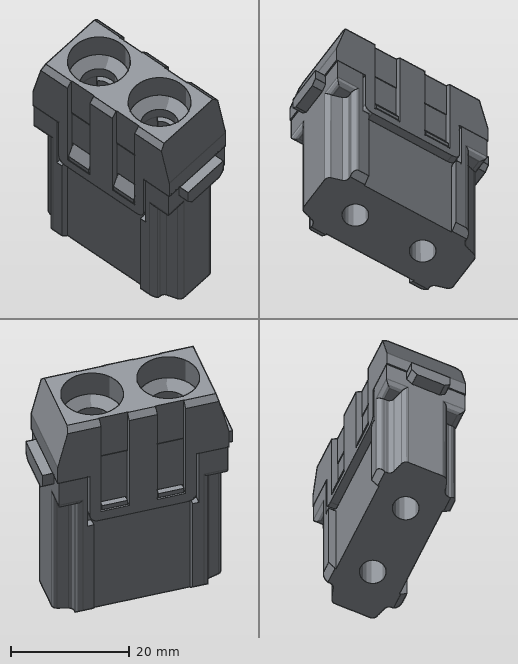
import cadquery as cq
import math

overall_width = 34.1
overall_depth = 14.6
overall_height = 42.9

body_width = 30.0
body_depth = 14.55
body_height = 31.1
bottom_chamfer = 1.2

pocket_height = 25.1
pocket_round = 1.0
pocket_front_x = 11.72
pocket_inner_y = 4.98
pocket_outer_y = 3.96

panel_depth = 1.4
panel_width = 17.5
panel_height = 20.0
tongue_gap_width = 19.75

cover_width = 30.4
cover_top_width = 26.4
cover_taper_start = 34.7
cover_chamfer = 1.0
tongue_width = 18.9
tongue_bottom = 20.75
tongue_radius = 1.5

slot_spacing = 10.0
slot_width = 5.0
slot_bottom = 22.7
slot_step_height = 34.2
slot_upper_depth = 1.1
slot_lower_depth = 1.2
catch_width = 4.5
catch_bottom = 22.9
catch_shoulder = 23.8
back_catch_depth = 1.05
catch_top = 26.2

lug_height = 3.4
lug_chamfer = 1.0
left_lug_depth = 7.1
right_lug_depth = 9.1

bore_spacing = 13.5
entry_diameter = 10.6
entry_depth = 4.75
funnel_angle = 120.0
bore_diameter = 6.4
bore_depth = 8.0
through_diameter = 4.5
relief_diameter = 5.2
relief_depth = 4.0
relief_half_angle = 42.0


def block(x_size, y_size, z_low, z_high):
    """Box centred on X and Y between two heights."""
    return cq.Workplane("XY").workplane(offset=z_low).rect(x_size, y_size).extrude(z_high - z_low)


def on_both_sides(shape):
    """Shape together with its mirror image in the XZ plane."""
    return shape.union(shape.mirror("XZ"))


def corner_pocket():
    """Prism removed from the -X, -Y corner of the body, with a rounded inner corner."""
    margin = 5.0
    side = -body_width / 2
    front = -body_depth / 2
    slope = (pocket_inner_y - pocket_outer_y) / (body_width / 2 - pocket_front_x)
    inner_corner = (-pocket_front_x, -pocket_inner_y, pocket_height / 2)
    prism = (
        cq.Workplane("XY")
        .moveTo(-pocket_front_x, front - margin)
        .lineTo(-pocket_front_x, -pocket_inner_y)
        .lineTo(side - margin, -pocket_outer_y + slope * margin)
        .lineTo(side - margin, front - margin)
        .close()
        .extrude(pocket_height)
    )
    return prism.edges(cq.NearestToPointSelector(inner_corner)).fillet(pocket_round)


def pocketed_body():
    """Lower body with its four corner pockets and their rounded outer edges."""
    body = block(body_width, body_depth, 0, body_height)
    pocket = corner_pocket()
    pockets = on_both_sides(pocket.union(pocket.mirror("YZ")))
    body = body.cut(pockets)

    side = body_width / 2
    front = body_depth / 2
    outer_edges = []
    for x_sign in (-1, 1):
        for y_sign in (-1, 1):
            edge_points = (
                (pocket_front_x, front, pocket_height / 2),
                (side, pocket_outer_y, pocket_height / 2),
                ((side + pocket_front_x) / 2, front, pocket_height),
                (side, (front + pocket_outer_y) / 2, pocket_height),
            )
            for x, y, z in edge_points:
                selector = cq.NearestToPointSelector((x_sign * x, y_sign * y, z))
                outer_edges.append(body.edges(selector).val())
    return body.newObject(outer_edges).fillet(pocket_round)


def bottom_bevel():
    """Wedge that bevels the front bottom edge along the whole body width."""
    front = -body_depth / 2
    return (
        cq.Workplane("YZ")
        .polyline([(front, 0), (front + bottom_chamfer, 0), (front, bottom_chamfer)])
        .close()
        .extrude(body_width / 2, both=True)
    )


def panel_recess():
    """Stepped recess in the front face that leaves the panel and takes the tongue."""
    recess_y = -body_depth / 2
    lower = block(panel_width, 2 * panel_depth, 0, panel_height)
    upper = block(tongue_gap_width, 2 * panel_depth, panel_height, body_height)
    return lower.union(upper).translate((0, recess_y, 0))


def cover():
    """Tapered upper cover with bevelled long top edges."""
    half_width = cover_width / 2
    half_top = cover_top_width / 2
    outline = [
        (-half_width, body_height),
        (-half_width, cover_taper_start),
        (-half_top, overall_height),
        (half_top, overall_height),
        (half_width, cover_taper_start),
        (half_width, body_height),
    ]
    shell = cq.Workplane("XZ").polyline(outline).close().extrude(overall_depth / 2, both=True)
    return shell.faces(">Z").edges("|X").chamfer(cover_chamfer)


def tongue():
    """Flap that hangs from the front of the cover into the panel recess."""
    inner_y = -body_depth / 2 + panel_depth
    thickness = inner_y + overall_depth / 2
    flap = block(tongue_width, thickness, tongue_bottom, body_height)
    flap = flap.edges("|Y and <Z").fillet(tongue_radius)
    return flap.translate((0, inner_y - thickness / 2, 0))


def latch_slot():
    """Open-topped front slot, slightly deeper below its step."""
    front = -overall_depth / 2
    lower = block(slot_width, 2 * slot_lower_depth, slot_bottom, slot_step_height)
    upper = block(slot_width, 2 * slot_upper_depth, slot_step_height, overall_height)
    return lower.union(upper).translate((0, front, 0))


def front_catch():
    """Wedge at the foot of a front slot, sloping from the slot floor out to the front face."""
    front = -overall_depth / 2
    floor = front + slot_lower_depth
    outline = [
        (floor, catch_bottom),
        (front, catch_bottom),
        (front, catch_shoulder),
        (floor, catch_top),
    ]
    return cq.Workplane("YZ").polyline(outline).close().extrude(catch_width / 2, both=True)


def back_catch():
    """Flat-topped catch at the foot of a back slot."""
    floor = overall_depth / 2 - slot_lower_depth
    catch = block(catch_width, back_catch_depth, catch_bottom, catch_shoulder)
    return catch.translate((0, floor + back_catch_depth / 2, 0))


def lug(direction, depth):
    """Side lug pointing along +X or -X, with its lower edges bevelled."""
    bar = block(overall_width / 2, depth, body_height - lug_height, body_height)
    bar = bar.faces("<Z").edges("|X").chamfer(lug_chamfer)
    return bar.translate((direction * overall_width / 4, 0, 0))


def contact_bore():
    """Stepped bore on the Z axis: entry, funnel, bore and through hole."""
    entry_radius = entry_diameter / 2
    bore_radius = bore_diameter / 2
    through_radius = through_diameter / 2
    funnel_top = overall_height - entry_depth
    funnel_bottom = funnel_top - (entry_radius - bore_radius) / math.tan(math.radians(funnel_angle / 2))
    seat = overall_height - bore_depth
    outline = [
        (0, 0),
        (through_radius, 0),
        (through_radius, seat),
        (bore_radius, seat),
        (bore_radius, funnel_bottom),
        (entry_radius, funnel_top),
        (entry_radius, overall_height),
        (0, overall_height),
    ]
    return cq.Workplane("XZ").polyline(outline).close().revolve(360, (0, 0), (0, 1))


def seat_reliefs():
    """Two opposite tapered sectors that deepen the bore seat on its +X and -X sides."""
    seat = overall_height - bore_depth
    outline = [
        (0, seat - relief_depth),
        (relief_diameter / 2, seat - relief_depth),
        (bore_diameter / 2, seat),
        (0, seat),
    ]
    sector = (
        cq.Workplane("XZ")
        .polyline(outline)
        .close()
        .revolve(2 * relief_half_angle, (0, 0), (0, 1))
    )
    right = sector.rotate((0, 0, 0), (0, 0, 1), -relief_half_angle)
    return right.union(right.rotate((0, 0, 0), (0, 0, 1), 180))


housing = pocketed_body()
housing = housing.cut(on_both_sides(bottom_bevel()))
housing = housing.cut(on_both_sides(panel_recess()))
housing = housing.union(cover()).union(on_both_sides(tongue()))
housing = housing.union(lug(-1, left_lug_depth)).union(lug(1, right_lug_depth))

catches = front_catch().union(back_catch())
for slot_x in (-slot_spacing / 2, slot_spacing / 2):
    housing = housing.cut(on_both_sides(latch_slot()).translate((slot_x, 0, 0)))
    housing = housing.union(catches.translate((slot_x, 0, 0)))

bore = contact_bore().union(seat_reliefs())
for bore_x in (-bore_spacing / 2, bore_spacing / 2):
    housing = housing.cut(bore.translate((bore_x, 0, 0)))

result = housing